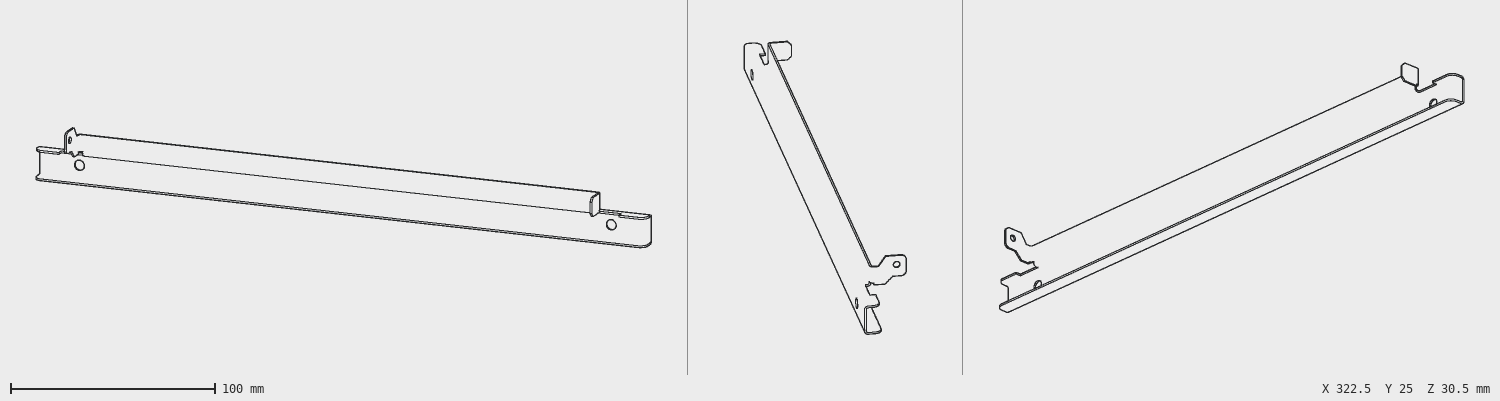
import cadquery as cq

length = 322.5
channel_height = 15.0
lower_depth = 9.0
upper_depth = 8.0
sheet = 1.0
inner_bend = 1.0
outer_bend = inner_bend + sheet
flange_corner = 4.0

web_hole_diameter = 5.0
web_hole_spacing = 280.5

riser_length = 275.7
riser_center = -0.48
riser_top = 25.5
relief_depth = 5.0
relief_span = 295.5

tab_bottom = 15.8
bend_relief_top = 16.8
bend_relief_width = 2.5
long_tab_reach = 25.0
long_tab_top = 30.5
long_tab_nose_bottom = 19.7
nose_corner = 2.5
neck_top_depth = 11.3
neck_bottom_depth = 14.5
nose_top_depth = 14.8
nose_bottom_depth = 18.5
tab_hole_diameter = 3.2
tab_hole_depth = 20.3
tab_hole_height = 25.8
short_tab_reach = 19.0
short_tab_corner = 2.0

tolerance = 0.03
half_riser = riser_length / 2
riser_back = upper_depth - sheet
tab_outer_bend = outer_bend - tolerance


def box(x_min, x_max, y_min, y_max, z_min, z_max):
    size = (x_max - x_min, y_max - y_min, z_max - z_min)
    return cq.Workplane("XY").box(*size, centered=False).translate((x_min, y_min, z_min))


def flange(depth, z_bottom):
    """Flat flange with its two free corners rounded."""
    plate = box(-length / 2, length / 2, -depth, 0, z_bottom, z_bottom + sheet)
    return plate.edges("|Z and <Y").fillet(flange_corner)


def channel():
    web = box(-length / 2, length / 2, -sheet, 0, 0, channel_height)
    body = web.union(flange(lower_depth, 0)).union(flange(upper_depth, channel_height - sheet))
    inner_edges = cq.selectors.BoxSelector(
        (-length, -sheet - tolerance, sheet / 2),
        (length, -sheet + tolerance, channel_height - sheet / 2),
    )
    body = body.edges("|X").edges(inner_edges).fillet(inner_bend)
    body = body.edges("|X and >Y").fillet(outer_bend)
    holes = (
        cq.Workplane("XZ")
        .pushPoints([(side * web_hole_spacing / 2, channel_height / 2) for side in (-1, 1)])
        .circle(web_hole_diameter / 2)
        .extrude(sheet)
    )
    relief = box(
        -relief_span / 2, relief_span / 2, -upper_depth, -relief_depth,
        channel_height - sheet, channel_height,
    )
    return body.cut(holes).cut(relief.translate((riser_center, 0, 0)))


def riser():
    """Strip of upper flange between the reliefs, bent upward."""
    flange_bottom = channel_height - sheet
    strip = box(-half_riser, half_riser, -upper_depth, -relief_depth, flange_bottom, channel_height)
    wall = box(-half_riser, half_riser, -upper_depth, -riser_back, flange_bottom, riser_top)
    bent = strip.union(wall)
    bent = bent.edges("|X and <Y and <Z").fillet(outer_bend)
    inner_edge = cq.selectors.NearestToPointSelector((0, -riser_back, channel_height))
    bent = bent.edges(inner_edge).fillet(inner_bend)
    return bent


def tab(side, outline):
    """Plate extruded from a (Y, Z) outline at one riser end, with its inner bend fillet."""
    inner_x = side * (half_riser - sheet)
    plate_start = inner_x if side > 0 else -half_riser
    plate = outline.extrude(sheet).translate((plate_start, 0, 0))
    fillet_x = inner_x - side * inner_bend
    fillet_y = -upper_depth - inner_bend
    x_min, x_max = sorted((inner_x, fillet_x))
    corner = box(x_min, x_max, fillet_y, -upper_depth, tab_bottom, riser_top)
    hollow = (
        cq.Workplane("XY", origin=(fillet_x, fillet_y, tab_bottom))
        .circle(inner_bend)
        .extrude(riser_top - tab_bottom)
    )
    return plate.union(corner.cut(hollow))


def long_tab():
    """Tab at -X: a neck sloping up to a rounded nose with a hole."""
    front = -long_tab_reach
    outline = (
        cq.Workplane("YZ")
        .moveTo(-riser_back, tab_bottom)
        .lineTo(-riser_back, riser_top)
        .lineTo(-neck_top_depth, riser_top)
        .lineTo(-nose_top_depth, long_tab_top)
        .lineTo(front + nose_corner, long_tab_top)
        .radiusArc((front, long_tab_top - nose_corner), -nose_corner)
        .lineTo(front, long_tab_nose_bottom + nose_corner)
        .radiusArc((front + nose_corner, long_tab_nose_bottom), -nose_corner)
        .lineTo(-nose_bottom_depth, long_tab_nose_bottom)
        .lineTo(-neck_bottom_depth, tab_bottom)
        .close()
    )
    hole = (
        cq.Workplane("YZ", origin=(-half_riser, -tab_hole_depth, tab_hole_height))
        .circle(tab_hole_diameter / 2)
        .extrude(sheet)
    )
    return tab(-1, outline).cut(hole)


def short_tab():
    """Tab at +X: a rectangle with its free corners cut off."""
    front = -short_tab_reach
    outline = (
        cq.Workplane("YZ")
        .moveTo(-riser_back, tab_bottom)
        .lineTo(-riser_back, riser_top)
        .lineTo(front + short_tab_corner, riser_top)
        .lineTo(front, riser_top - short_tab_corner)
        .lineTo(front, tab_bottom + short_tab_corner)
        .lineTo(front + short_tab_corner, tab_bottom)
        .close()
    )
    return tab(1, outline)


def upright():
    """Riser with both tabs and the rounded bends between them."""
    body = riser().union(long_tab()).union(short_tab())
    bend_front = -upper_depth - inner_bend
    for side in (-1, 1):
        x_min, x_max = sorted((side * half_riser, side * (half_riser - bend_relief_width)))
        body = body.cut(box(x_min, x_max, bend_front, -relief_depth, 0, bend_relief_top))
    back_corners = cq.selectors.BoxSelector(
        (-length, -riser_back - tolerance, tab_bottom),
        (length, -riser_back + tolerance, riser_top),
    )
    return body.edges("|Z").edges(back_corners).edges("<X or >X").fillet(tab_outer_bend)


result = channel().union(upright().translate((riser_center, 0, 0)))